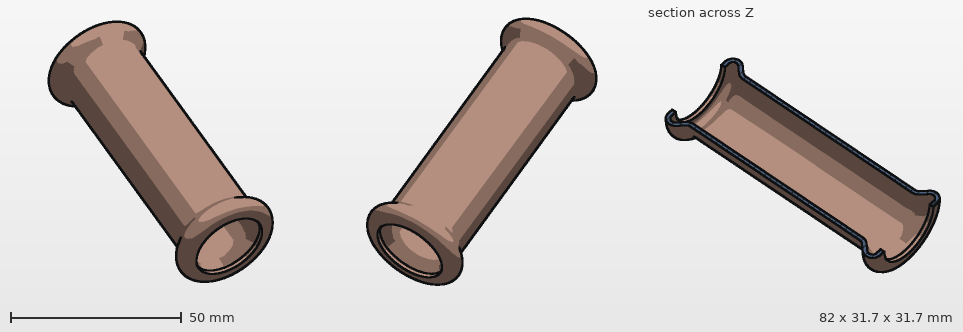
import cadquery as cq
import math

length = 82.0
bead_diameter = 31.7
tube_diameter = 25.0
wall = 1.5
bead_outer_radius = 2.95
neck_outer_radius = 2.0
flank_angle = math.radians(45)

tube_radius = tube_diameter / 2
bore_radius = tube_radius - wall
bead_center_x = bead_outer_radius
bead_center_r = bead_diameter / 2 - bead_outer_radius
neck_center_r = tube_radius + neck_outer_radius

arc_radii_sum = bead_outer_radius + neck_outer_radius
center_drop = bead_center_r - neck_center_r
neck_center_x = bead_center_x + (
    arc_radii_sum + center_drop * math.cos(flank_angle)
) / math.sin(flank_angle)


def bead_point(radius, angle):
    """Point on a bead arc; the angle is measured from straight outward toward +X."""
    return (
        bead_center_x + radius * math.sin(angle),
        bead_center_r + radius * math.cos(angle),
    )


def neck_point(radius, angle):
    """Point on a neck arc; the angle is measured from straight inward toward -X."""
    return (
        neck_center_x - radius * math.sin(angle),
        neck_center_r - radius * math.cos(angle),
    )


def revolved_half(end_radius, bead_radius, neck_radius):
    """Solid left half bounded by the bead, flank, neck and tube at one wall surface."""
    face_angle = -math.pi / 2
    middle_angle = (face_angle + flank_angle) / 2
    face_x = bead_center_x - bead_radius
    profile = (
        cq.Workplane("XY")
        .moveTo(face_x, 0)
        .lineTo(face_x, bead_center_r)
        .threePointArc(bead_point(bead_radius, middle_angle), bead_point(bead_radius, flank_angle))
        .lineTo(*neck_point(neck_radius, flank_angle))
        .threePointArc(neck_point(neck_radius, flank_angle / 2), neck_point(neck_radius, 0))
        .lineTo(length / 2, end_radius)
        .lineTo(length / 2, 0)
        .close()
    )
    return profile.revolve(360, (0, 0, 0), (1, 0, 0))


outside = revolved_half(tube_radius, bead_outer_radius, neck_outer_radius)
inside = revolved_half(bore_radius, bead_outer_radius - wall, neck_outer_radius + wall)
mouth = cq.Workplane("YZ").circle(bore_radius).extrude(length / 2)

half = outside.cut(inside).cut(mouth)
other_half = half.mirror("YZ", (length / 2, 0, 0))
result = half.union(other_half, clean=True).translate((-length / 2, 0, 0))